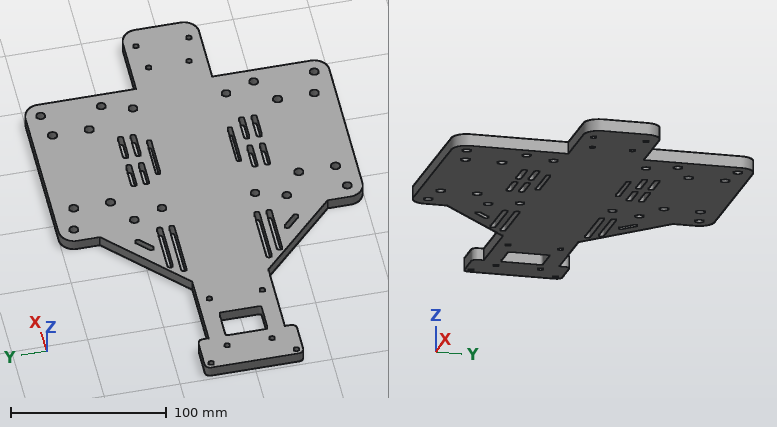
import cadquery as cq

LENGTH = 295.0
THICKNESS = 8.0
FRONT_X = -LENGTH / 2
BACK_X = LENGTH / 2

HEAD_LENGTH = 25.0
HEAD_WIDTH = 65.0
NECK_LENGTH = 50.0
NECK_WIDTH = 50.2
BODY_WIDTH = 200.0
BODY_LENGTH = 120.0
TAIL_LENGTH = 50.0
SHOULDER_RISE = 50.0

HEAD_X = FRONT_X + HEAD_LENGTH
NECK_X = HEAD_X + NECK_LENGTH
TAIL_X = BACK_X - TAIL_LENGTH
BODY_X = TAIL_X - BODY_LENGTH
BODY_MID_X = (BODY_X + TAIL_X) / 2
SHOULDER_Y = NECK_WIDTH / 2 + SHOULDER_RISE

BODY_RADIUS = 10.0
TAIL_RADIUS = 10.0
HEAD_RADIUS = 3.5

WINDOW_LENGTH = 20.0
WINDOW_WIDTH = 27.7
WINDOW_RADIUS = 1.5

SMALL_DIAMETER = 3.5
MEDIUM_DIAMETER = 5.5
LARGE_DIAMETER = 6.0

SMALL_HOLES = [
    (FRONT_X + 3.8, 28.0),
    (FRONT_X + 16.5, 14.8),
    (FRONT_X + 58.5, 17.5),
    (BACK_X - 33.5, 13.3),
    (BACK_X - 14.0, 17.5),
]

MEDIUM_HOLES = [(50.2, 90.0), (50.2, 50.2), (44.0, 30.7)]
LARGE_HOLES = [(32.2, 86.0), (32.2, 62.0)]

SLOT_WIDTH = 3.5
SHORT_SLOT_LENGTH = 19.0
SHORT_SLOT_OFFSET = 12.5
SHORT_SLOT_ROWS = [44.0, 35.7]
INNER_SLOT_LENGTH = 30.0
INNER_SLOT_WIDTH = 3.0
INNER_SLOT_Y = 26.5
LONG_SLOTS = [(35.0, 36.0), (40.0, 28.0)]
ANGLED_SLOT_LENGTH = 13.5
ANGLED_SLOT_X = BODY_X - 12.7
ANGLED_SLOT_Y = 48.5
ANGLED_SLOT_TILT = 45.0


def plate():
    """Extrude the outline and round its outer corners."""
    half_outline = [
        (FRONT_X, HEAD_WIDTH / 2),
        (HEAD_X, HEAD_WIDTH / 2),
        (HEAD_X, NECK_WIDTH / 2),
        (NECK_X, NECK_WIDTH / 2),
        (BODY_X, SHOULDER_Y),
        (BODY_X, BODY_WIDTH / 2),
        (TAIL_X, BODY_WIDTH / 2),
        (TAIL_X, NECK_WIDTH / 2),
        (BACK_X, NECK_WIDTH / 2),
    ]
    other_half = [(x, -y) for x, y in reversed(half_outline)]
    body = cq.Workplane("XY").polyline(half_outline + other_half).close().extrude(THICKNESS)

    rounded_corners = [
        (FRONT_X, HEAD_WIDTH / 2, HEAD_RADIUS),
        (HEAD_X, HEAD_WIDTH / 2, HEAD_RADIUS),
        (BODY_X, BODY_WIDTH / 2, BODY_RADIUS),
        (TAIL_X, BODY_WIDTH / 2, BODY_RADIUS),
        (BACK_X, NECK_WIDTH / 2, TAIL_RADIUS),
    ]
    for x, y, radius in rounded_corners:
        for corner_y in (y, -y):
            corner = cq.selectors.NearestToPointSelector((x, corner_y, THICKNESS / 2))
            body = body.edges("|Z").edges(corner).fillet(radius)
    return body


def mirrored_pair(cutter):
    """Return the cutter together with its mirror image across the X axis."""
    return cutter.union(cutter.mirror("XZ"))


def holes(points, diameter):
    cutter = cq.Workplane("XY").pushPoints(points).circle(diameter / 2).extrude(THICKNESS)
    return mirrored_pair(cutter)


def body_holes(offsets, diameter):
    points = [(BODY_MID_X + side * dx, y) for dx, y in offsets for side in (-1, 1)]
    return holes(points, diameter)


def slot(x, y, length, width=SLOT_WIDTH, tilt=0.0):
    cutter = cq.Workplane("XY").center(x, y).slot2D(length, width, tilt).extrude(THICKNESS)
    return mirrored_pair(cutter)


def window():
    return (
        cq.Workplane("XY")
        .center(HEAD_X + WINDOW_LENGTH / 2, 0)
        .rect(WINDOW_LENGTH, WINDOW_WIDTH)
        .extrude(THICKNESS)
        .edges("|Z")
        .fillet(WINDOW_RADIUS)
    )


result = plate().cut(window())

result = result.cut(holes(SMALL_HOLES, SMALL_DIAMETER))
result = result.cut(body_holes(MEDIUM_HOLES, MEDIUM_DIAMETER))
result = result.cut(body_holes(LARGE_HOLES, LARGE_DIAMETER))

for row_y in SHORT_SLOT_ROWS:
    for side in (-1, 1):
        result = result.cut(slot(BODY_MID_X + side * SHORT_SLOT_OFFSET, row_y, SHORT_SLOT_LENGTH))

result = result.cut(slot(BODY_MID_X, INNER_SLOT_Y, INNER_SLOT_LENGTH, INNER_SLOT_WIDTH))

for long_length, long_y in LONG_SLOTS:
    result = result.cut(slot(BODY_X - long_length / 2, long_y, long_length))

result = result.cut(
    slot(ANGLED_SLOT_X, ANGLED_SLOT_Y, ANGLED_SLOT_LENGTH, tilt=ANGLED_SLOT_TILT)
)